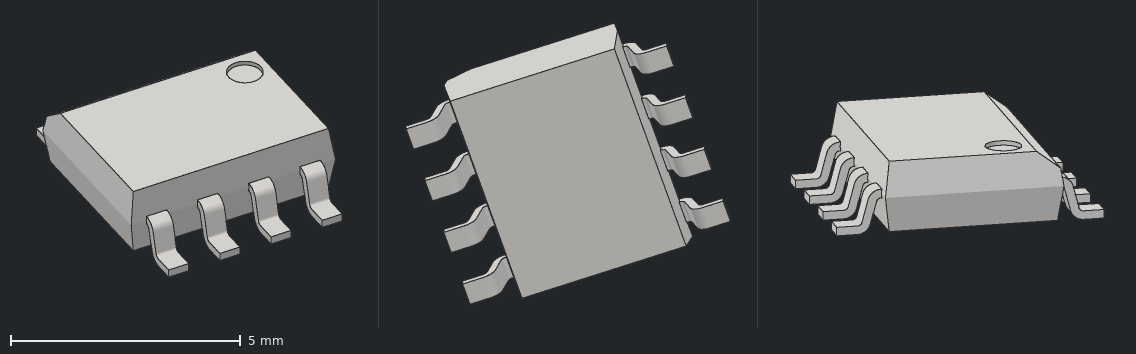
import cadquery as cq
import math


SPAN = 6.0
HEIGHT = 1.7

BODY_WIDTH = 4.0
BODY_LENGTH = 5.08
STANDOFF = 0.095
DRAFT_ANGLE = 8.0
BEVEL_WIDTH = 0.59
BEVEL_DEPTH = 0.4

MARK_DIAMETER = 0.8
MARK_DEPTH = 0.1
MARK_MARGIN = 0.2

LEADS_PER_SIDE = 4
LEAD_PITCH = 1.27
LEAD_WIDTH = 0.505
LEAD_THICKNESS = 0.2
FOOT_LENGTH = 0.47
BEND_RADIUS = 0.1
LEAD_ANGLE = 75.0
LEAD_EMBED = 0.18

PARTING_Z = (STANDOFF + HEIGHT) / 2
HALF_HEIGHT = HEIGHT - PARTING_Z
DRAFT_SLOPE = math.tan(math.radians(DRAFT_ANGLE))
BODY_LEFT = -BODY_WIDTH / 2


def make_body_half(rise):
    """Tapered half of the body, extruded from the parting plane by a signed rise."""
    return (
        cq.Workplane("XY", origin=(0, 0, PARTING_Z))
        .rect(BODY_WIDTH, BODY_LENGTH)
        .extrude(rise, taper=DRAFT_ANGLE)
    )


def make_bevel_cutter():
    """Wedge that slopes off the top edge on the -X side."""
    bevel_bottom_z = HEIGHT - BEVEL_DEPTH
    bevel_bottom_x = BODY_LEFT + (bevel_bottom_z - PARTING_Z) * DRAFT_SLOPE
    bevel_top_x = BODY_LEFT + BEVEL_WIDTH
    wedge = [
        (bevel_bottom_x, bevel_bottom_z),
        (bevel_top_x, HEIGHT),
        (bevel_bottom_x, HEIGHT),
    ]
    return cq.Workplane("XZ").polyline(wedge).close().extrude(BODY_LENGTH / 2, both=True)


def make_mark_cutter():
    """Shallow round recess beside the bevel, in the +Y corner of the top face."""
    inset = MARK_MARGIN + MARK_DIAMETER / 2
    top_edge_y = BODY_LENGTH / 2 - HALF_HEIGHT * DRAFT_SLOPE
    return (
        cq.Workplane("XY", origin=(0, 0, HEIGHT - MARK_DEPTH))
        .center(BODY_LEFT + BEVEL_WIDTH + inset, top_edge_y - inset)
        .circle(MARK_DIAMETER / 2)
        .extrude(MARK_DEPTH)
    )


def point_on_arc(center, radius, angle):
    """Point at an angle in degrees, counterclockwise from +X."""
    turn = math.radians(angle)
    return (center[0] + radius * math.cos(turn), center[1] + radius * math.sin(turn))


def make_left_lead(y):
    """Gull-wing lead on the -X side, centred at the given Y."""
    outer_radius = BEND_RADIUS + LEAD_THICKNESS
    lead_top_z = PARTING_Z + LEAD_THICKNESS / 2
    slope = math.radians(LEAD_ANGLE)

    lower_center = (-SPAN / 2 + FOOT_LENGTH, outer_radius)
    center_rise = lead_top_z - 2 * outer_radius
    center_gap = BEND_RADIUS + outer_radius
    center_run = (center_gap + center_rise * math.cos(slope)) / math.sin(slope)
    upper_center = (lower_center[0] + center_run, lower_center[1] + center_rise)

    lower_end = LEAD_ANGLE - 90
    lower_middle = LEAD_ANGLE / 2 - 90
    upper_start = LEAD_ANGLE + 90
    upper_middle = LEAD_ANGLE / 2 + 90
    root_x = BODY_LEFT + LEAD_EMBED

    profile = (
        cq.Workplane("XZ", origin=(0, y, 0))
        .moveTo(-SPAN / 2, 0)
        .lineTo(lower_center[0], 0)
        .threePointArc(
            point_on_arc(lower_center, outer_radius, lower_middle),
            point_on_arc(lower_center, outer_radius, lower_end),
        )
        .lineTo(*point_on_arc(upper_center, BEND_RADIUS, upper_start))
        .threePointArc(
            point_on_arc(upper_center, BEND_RADIUS, upper_middle),
            point_on_arc(upper_center, BEND_RADIUS, 90),
        )
        .lineTo(root_x, lead_top_z - LEAD_THICKNESS)
        .lineTo(root_x, lead_top_z)
        .lineTo(upper_center[0], lead_top_z)
        .threePointArc(
            point_on_arc(upper_center, outer_radius, upper_middle),
            point_on_arc(upper_center, outer_radius, upper_start),
        )
        .lineTo(*point_on_arc(lower_center, BEND_RADIUS, lower_end))
        .threePointArc(
            point_on_arc(lower_center, BEND_RADIUS, lower_middle),
            point_on_arc(lower_center, BEND_RADIUS, -90),
        )
        .lineTo(-SPAN / 2, LEAD_THICKNESS)
        .close()
    )
    return profile.extrude(LEAD_WIDTH / 2, both=True)


body = make_body_half(HALF_HEIGHT).union(make_body_half(-HALF_HEIGHT))
body = body.cut(make_bevel_cutter()).cut(make_mark_cutter())

result = body
for index in range(LEADS_PER_SIDE):
    lead_y = (index - (LEADS_PER_SIDE - 1) / 2) * LEAD_PITCH
    left_lead = make_left_lead(lead_y)
    result = result.union(left_lead).union(left_lead.mirror("YZ"))